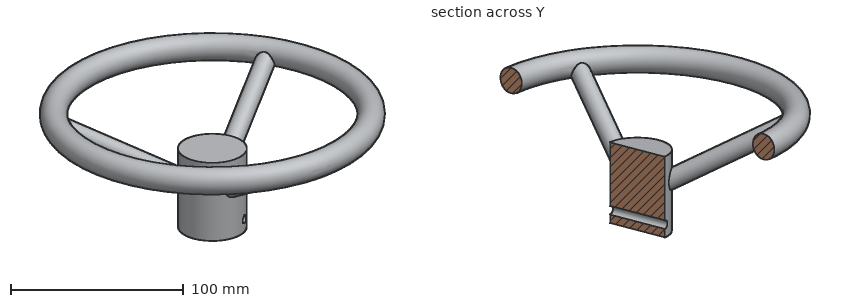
import cadquery as cq
import math

wheel_diameter = 199.8
wheel_height = 80.0
rim_tube_diameter = 16.0
hub_diameter = 40.0
hub_height = 50.0
spoke_diameter = 12.0
spoke_count = 3
first_spoke_angle = 90.0
spoke_axis_base = 22.0
pin_hole_diameter = 5.0
pin_hole_height = 8.0

rim_radius = (wheel_diameter - rim_tube_diameter) / 2
rim_height = wheel_height - rim_tube_diameter / 2


def make_rim():
    centre = cq.Vector(0, 0, rim_height)
    return cq.Workplane(cq.Solid.makeTorus(rim_radius, rim_tube_diameter / 2, centre))


def make_hub():
    return cq.Workplane("XY").circle(hub_diameter / 2).extrude(hub_height)


def make_spoke(angle):
    """Sloping round bar from the wheel axis to the centre of the rim tube."""
    start = cq.Vector(0, 0, spoke_axis_base)
    heading = math.radians(angle)
    end = cq.Vector(rim_radius * math.cos(heading), rim_radius * math.sin(heading), rim_height)
    axis = end - start
    return cq.Workplane(cq.Solid.makeCylinder(spoke_diameter / 2, axis.Length, start, axis))


def make_pin_hole():
    """Cross hole along X through the whole hub."""
    return (
        cq.Workplane("YZ")
        .center(0, pin_hole_height)
        .circle(pin_hole_diameter / 2)
        .extrude(hub_diameter / 2, both=True)
    )


result = make_hub()
for index in range(spoke_count):
    result = result.union(make_spoke(first_spoke_angle + index * 360 / spoke_count))
result = result.cut(make_pin_hole())
result = result.union(make_rim(), clean=False)